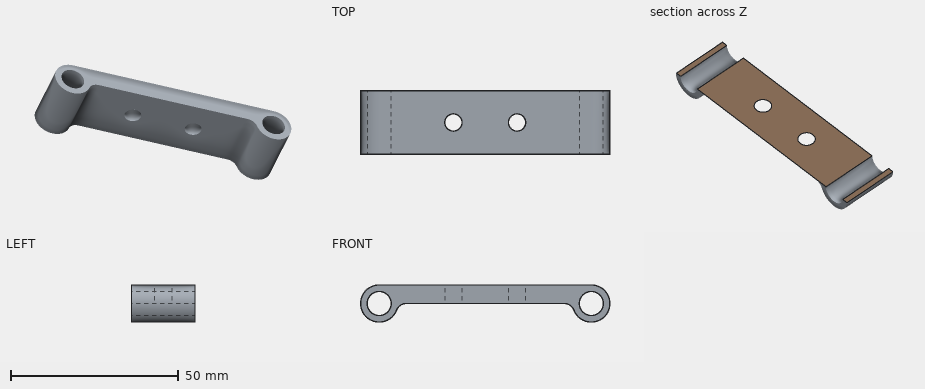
import cadquery as cq
import math

barrel_spacing = 63.5
barrel_radius = 5.59
bore_diameter = 7.14
width = 19.05
plate_thickness = 5.59
fillet_radius = 3.175
screw_hole_diameter = 5.1
screw_hole_spacing = 19.05

barrel_x = barrel_spacing / 2
plate_top = barrel_radius
plate_bottom = plate_top - plate_thickness

fillet_z = plate_bottom - fillet_radius
center_distance = barrel_radius + fillet_radius
fillet_angle = math.asin(fillet_z / center_distance)
fillet_x = barrel_x - center_distance * math.cos(fillet_angle)


def underside_fillet_points():
    """Barrel end, middle and plate end of the right-hand fillet arc."""
    barrel_end = (
        barrel_x - barrel_radius * math.cos(fillet_angle),
        barrel_radius * math.sin(fillet_angle),
    )
    middle_angle = (math.pi / 2 - fillet_angle) / 2
    middle = (
        fillet_x + fillet_radius * math.cos(middle_angle),
        fillet_z + fillet_radius * math.sin(middle_angle),
    )
    plate_end = (fillet_x, plate_bottom)
    return barrel_end, middle, plate_end


def mirrored(point):
    """Reflect an (x, z) point across X = 0."""
    x, z = point
    return -x, z


def link_body():
    """Plate with a barrel at each end, as one profile extruded along Y."""
    barrel_end, middle, plate_end = underside_fillet_points()
    outer_middle_angle = (math.pi / 2 - (math.pi + fillet_angle)) / 2
    outer_middle = (
        barrel_x + barrel_radius * math.cos(outer_middle_angle),
        barrel_radius * math.sin(outer_middle_angle),
    )
    profile = (
        cq.Workplane("XZ")
        .moveTo(-barrel_x, plate_top)
        .lineTo(barrel_x, plate_top)
        .threePointArc(outer_middle, barrel_end)
        .threePointArc(middle, plate_end)
        .lineTo(*mirrored(plate_end))
        .threePointArc(mirrored(middle), mirrored(barrel_end))
        .threePointArc(mirrored(outer_middle), (-barrel_x, plate_top))
        .close()
    )
    return profile.extrude(width / 2, both=True)


def barrel_bores():
    """Pin bores through both barrels along Y."""
    return (
        cq.Workplane("XZ")
        .pushPoints([(-barrel_x, 0), (barrel_x, 0)])
        .circle(bore_diameter / 2)
        .extrude(width / 2, both=True)
    )


def screw_holes():
    """Two holes through the plate thickness, centred across the width."""
    hole_x = screw_hole_spacing / 2
    return (
        cq.Workplane("XY")
        .workplane(offset=plate_bottom)
        .pushPoints([(-hole_x, 0), (hole_x, 0)])
        .circle(screw_hole_diameter / 2)
        .extrude(plate_thickness)
    )


result = link_body().cut(barrel_bores()).cut(screw_holes())